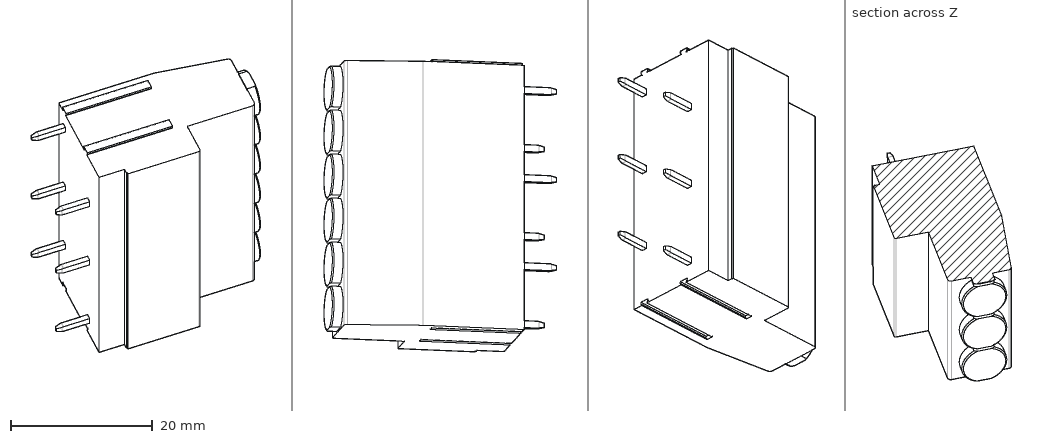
import cadquery as cq

slot_count = 6
slot_pitch = 6.35
housing_height = slot_count * slot_pitch

overall_width = 15.85
tower_depth = 25.5
tower_right = 10.9
slope_start = 14.55
slope_inset = 1.6
shelf_depth = 15.1
notch_width = 0.95
notch_depth = 4.0
lip_inset = 0.25
lip_drop = 0.12
tower_fillet = 0.5
shelf_fillet = 0.25

dovetail_centers = (2.05, 9.9)
dovetail_length = 13.0
dovetail_height = 0.6
dovetail_shoulder = 0.35
dovetail_neck_width = 1.0
dovetail_shoulder_width = 1.4
dovetail_top_width = 1.3

pin_columns = (11.08, 2.06)
pin_width = 0.8
pin_thickness = 1.0
pin_length = 5.0
pin_width_taper = 0.8
pin_thickness_taper = 1.0
pin_tip_width = 0.4
pin_tip_thickness = 0.6

screw_x = 6.0
screw_diameter = 6.6
screw_across_flats = 5.88
screw_height = 1.5
screw_chamfer = 0.2


def slot_center(slot):
    return (slot + 0.5) * slot_pitch


def make_housing():
    notch_x = overall_width - notch_width
    lip_x = overall_width - lip_inset
    profile = [
        (0, 0),
        (notch_x, 0),
        (notch_x, notch_depth - lip_drop),
        (lip_x, notch_depth - lip_drop),
        (lip_x, notch_depth),
        (overall_width, notch_depth),
        (overall_width, shelf_depth),
        (tower_right, shelf_depth),
        (tower_right, tower_depth),
        (slope_inset, tower_depth),
        (0, slope_start),
    ]
    body = cq.Workplane("XY").polyline(profile).close().extrude(housing_height)
    mid_z = housing_height / 2
    for x in (slope_inset, tower_right):
        corner = cq.selectors.NearestToPointSelector((x, tower_depth, mid_z))
        body = body.edges(corner).fillet(tower_fillet)
    corner = cq.selectors.NearestToPointSelector((overall_width, shelf_depth, mid_z))
    return body.edges(corner).fillet(shelf_fillet)


def make_dovetail(center_x, base_z):
    """Bar along +Y that widens upward from its neck, then narrows slightly to its top."""
    half_neck = dovetail_neck_width / 2
    half_shoulder = dovetail_shoulder_width / 2
    half_top = dovetail_top_width / 2
    section = [
        (-half_neck, 0),
        (half_neck, 0),
        (half_shoulder, dovetail_shoulder),
        (half_top, dovetail_height),
        (-half_top, dovetail_height),
        (-half_shoulder, dovetail_shoulder),
    ]
    bar = cq.Workplane("XZ").polyline(section).close().extrude(-dovetail_length)
    return bar.translate((center_x, 0, base_z))


def tapered_outline(width, taper_length, tip_width):
    """Pin outline as (offset across the pin, Y) points, tapering at its free end."""
    half_width = width / 2
    half_tip = tip_width / 2
    taper_y = taper_length - pin_length
    return [
        (-half_width, 0),
        (-half_width, taper_y),
        (-half_tip, -pin_length),
        (half_tip, -pin_length),
        (half_width, taper_y),
        (half_width, 0),
    ]


def make_pin(slot):
    """Rectangular pin along -Y whose tip tapers over different lengths in X and in Z."""
    x_outline = tapered_outline(pin_width, pin_width_taper, pin_tip_width)
    z_outline = tapered_outline(pin_thickness, pin_thickness_taper, pin_tip_thickness)
    width_blade = cq.Workplane("XY").polyline(x_outline).close().extrude(pin_thickness, both=True)
    thickness_blade = (
        cq.Workplane("YZ")
        .polyline([(y, z) for z, y in z_outline])
        .close()
        .extrude(pin_width, both=True)
    )
    column_x = pin_columns[slot % len(pin_columns)]
    return width_blade.intersect(thickness_blade).translate((column_x, 0, slot_center(slot)))


def make_screw_head(slot):
    """Chamfered disc on the screw face, cut by two flats parallel to XY."""
    disc = cq.Workplane("XZ").circle(screw_diameter / 2).extrude(-screw_height)
    disc = disc.faces(">Y").chamfer(screw_chamfer)
    flats = cq.Workplane("XY").box(screw_diameter, 2 * screw_height, screw_across_flats)
    head = disc.intersect(flats)
    return head.translate((screw_x, tower_depth, slot_center(slot)))


result = make_housing()
for key_x in dovetail_centers:
    result = result.union(make_dovetail(key_x, housing_height))
    result = result.cut(make_dovetail(key_x, 0))
for slot_index in range(slot_count):
    result = result.union(make_pin(slot_index))
    result = result.union(make_screw_head(slot_index))